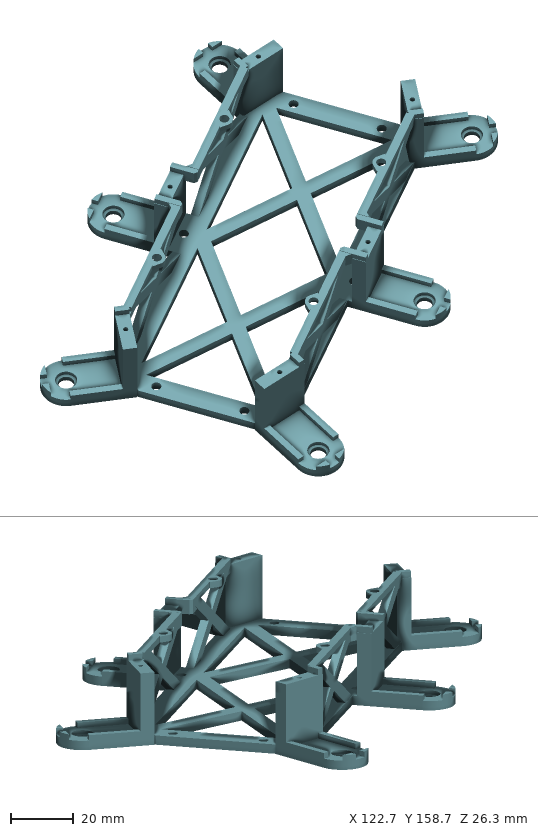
import cadquery as cq
import math

FLOOR_TOP = 3.1
RIB_TOP = 4.9
COLUMN_TOP = 24.2
STRAP_TOP = 26.3
BRACKET_BOTTOM = 21.6

RAIL_OUTER_X = 29.8
RAIL_INNER_X = 22.85
FRAME_END_Y = 67.2
FRAME_END_HALF_LENGTH = 19.85
WINDOW_END_Y = 60.1
BRACE_WIDTH = 5.0
SCREW_DIAMETER = 3.2
END_SCREW_X = 15.0
END_SCREW_Y = 63.5
SIDE_SCREW_X = 29.0

ARM_RADIUS = 8.35
MIDDLE_HOLE_X = 53.0
CORNER_HOLE_X = 42.95
CORNER_HOLE_Y = 71.0
CORNER_ANGLE = 30
RIB_WIDTH = 2.2
MOTOR_HOLE_DIAMETER = 5.2
COUNTERBORE_DIAMETER = 7.1
COUNTERBORE_DEPTH = 1.4
TAB_START_U = 5.95
TAB_GAP = 3.8

COLUMN_INNER_U = -21.65
COLUMN_THICKNESS = 4.7
COLUMN_OUTER_U = COLUMN_INNER_U + COLUMN_THICKNESS
COLUMN_HOLE_DIAMETER = 1.7
COLUMN_HOLE_DEPTH = 10.0
RIB_INNER_V = ARM_RADIUS - RIB_WIDTH
STRAP_INSET = 0.15
STRAP_OUTER_V = ARM_RADIUS - STRAP_INSET

WALL_INNER_X = 26.95
WALL_INSET = 0.1
WALL_OUTER_X = RAIL_OUTER_X - WALL_INSET
TRUSS_BRACE_WIDTH = 4.2
TRUSS_BRACE_ANGLE = 29.8
TRUSS_CENTER_Y = 30.95
TRUSS_END_Y = 53.8
BRACKET_LENGTH = 6.2
BRACKET_END_Y = 54.9
BOSS_Y = 31.25
BOSS_X = 26.7
BOSS_DIAMETER = 5.6
STRAP_CHAMFER = 0.9
GUSSET_LEG = 1.5

SIGNS = (-1, 1)


def block(x0, x1, y0, y1, z0, z1):
    """Axis-aligned box between opposite limits."""
    size = (x1 - x0, y1 - y0, z1 - z0)
    return cq.Workplane("XY").box(*size, centered=False).translate((x0, y0, z0))


def prism(points, z0, z1):
    """Vertical prism over a closed polygon."""
    return cq.Workplane("XY").workplane(offset=z0).polyline(points).close().extrude(z1 - z0)


def cylinder(x, y, diameter, z0, z1):
    """Upright cylinder centred on (x, y)."""
    return cq.Workplane("XY").workplane(offset=z0).center(x, y).circle(diameter / 2).extrude(z1 - z0)


def crossed_panel(length, height, brace_angle, brace_width, thickness):
    """Panel centred on the origin, kept only where two sloping bars cross it."""
    panel = cq.Workplane("XY").box(length, height, thickness, centered=(True, True, False))
    reach = 2 * math.hypot(length, height)
    bar = cq.Workplane("XY").box(reach, brace_width, thickness, centered=(True, True, False))
    rising = bar.rotate((0, 0, 0), (0, 0, 1), brace_angle)
    falling = bar.rotate((0, 0, 0), (0, 0, 1), -brace_angle)
    return panel.intersect(rising.union(falling))


def base_frame():
    """Flat frame with two crossed bays and chamfered corners that meet the corner arms."""
    quarter = [(RAIL_OUTER_X, TRUSS_END_Y), (FRAME_END_HALF_LENGTH, FRAME_END_Y)]
    upper = quarter + [(-x, y) for x, y in reversed(quarter)]
    lower = [(-x, -y) for x, y in upper]
    frame = prism(upper + lower, 0, FLOOR_TOP)
    frame = frame.cut(
        block(-RAIL_INNER_X, RAIL_INNER_X, -WINDOW_END_Y, WINDOW_END_Y, 0, FLOOR_TOP)
    )
    diagonal_angle = math.degrees(math.atan2(WINDOW_END_Y, 2 * RAIL_INNER_X))
    bay = crossed_panel(2 * RAIL_INNER_X, WINDOW_END_Y, diagonal_angle, BRACE_WIDTH, FLOOR_TOP)
    for side in SIGNS:
        frame = frame.union(bay.translate((0, side * WINDOW_END_Y / 2, 0)))
    return frame


def arm(strap_sides):
    """Motor arm along +X with its hole at the origin, its column and the strap ends on the column."""
    body = block(COLUMN_INNER_U, 0, -ARM_RADIUS, ARM_RADIUS, 0, FLOOR_TOP)
    body = body.union(cylinder(0, 0, 2 * ARM_RADIUS, 0, FLOOR_TOP))
    body = body.union(
        block(COLUMN_INNER_U, COLUMN_OUTER_U, -ARM_RADIUS, ARM_RADIUS, 0, COLUMN_TOP)
    )
    rim = cylinder(0, 0, 2 * ARM_RADIUS, 0, RIB_TOP)
    for side in SIGNS:
        v_limits = sorted((side * RIB_INNER_V, side * ARM_RADIUS))
        body = body.union(block(COLUMN_INNER_U, 0, *v_limits, 0, RIB_TOP))
        tab_limits = sorted((side * TAB_GAP / 2, side * ARM_RADIUS))
        body = body.union(rim.intersect(block(TAB_START_U, ARM_RADIUS, *tab_limits, 0, RIB_TOP)))
        if side in strap_sides:
            strap_limits = sorted((side * RIB_INNER_V, side * STRAP_OUTER_V))
            body = body.union(
                block(COLUMN_INNER_U, COLUMN_OUTER_U, *strap_limits, COLUMN_TOP, STRAP_TOP)
            )
    body = body.cut(cylinder(0, 0, MOTOR_HOLE_DIAMETER, 0, FLOOR_TOP))
    body = body.cut(cylinder(0, 0, COUNTERBORE_DIAMETER, FLOOR_TOP - COUNTERBORE_DEPTH, FLOOR_TOP))
    column_hole_u = (COLUMN_INNER_U + COLUMN_OUTER_U) / 2
    return body.cut(
        cylinder(column_hole_u, 0, COLUMN_HOLE_DIAMETER, COLUMN_TOP - COLUMN_HOLE_DEPTH, COLUMN_TOP)
    )


def side_truss():
    """Truss wall of the +X, +Y quarter: crossed web, top strap, end brackets, gusset and screw boss."""
    wall_thickness = WALL_OUTER_X - WALL_INNER_X
    web_length = TRUSS_END_Y - ARM_RADIUS
    web_height = COLUMN_TOP - FLOOR_TOP
    web = crossed_panel(web_length, web_height, TRUSS_BRACE_ANGLE, TRUSS_BRACE_WIDTH, wall_thickness)
    web = web.rotate((0, 0, 0), (1, 0, 0), 90).rotate((0, 0, 0), (0, 0, 1), 90)
    truss = web.translate((WALL_INNER_X, TRUSS_CENTER_Y, (FLOOR_TOP + COLUMN_TOP) / 2))
    truss = truss.union(
        block(WALL_INNER_X, WALL_OUTER_X, ARM_RADIUS, TRUSS_END_Y, COLUMN_TOP, STRAP_TOP)
    )

    bracket_x = (WALL_INNER_X + WALL_INSET, WALL_OUTER_X - WALL_INSET)
    for y0 in (ARM_RADIUS, BRACKET_END_Y - BRACKET_LENGTH):
        truss = truss.union(block(*bracket_x, y0, y0 + BRACKET_LENGTH, BRACKET_BOTTOM, COLUMN_TOP))

    middle_column_x = MIDDLE_HOLE_X + COLUMN_INNER_U
    strap_end = [
        (WALL_INNER_X, STRAP_OUTER_V),
        (WALL_INNER_X, RIB_INNER_V + STRAP_CHAMFER),
        (WALL_INNER_X + STRAP_CHAMFER, RIB_INNER_V),
        (middle_column_x, RIB_INNER_V),
        (middle_column_x, STRAP_OUTER_V),
    ]
    truss = truss.union(prism(strap_end, BRACKET_BOTTOM, STRAP_TOP))
    gusset = [
        (WALL_INNER_X, ARM_RADIUS),
        (WALL_OUTER_X + GUSSET_LEG, ARM_RADIUS),
        (WALL_OUTER_X, ARM_RADIUS + GUSSET_LEG),
        (WALL_INNER_X, ARM_RADIUS + GUSSET_LEG),
    ]
    truss = truss.union(prism(gusset, BRACKET_BOTTOM, STRAP_TOP))

    flare = BOSS_DIAMETER / math.sqrt(2)
    lobe_point = BOSS_DIAMETER / 2 / math.sqrt(2)
    boss = [
        (BOSS_X, BOSS_Y - flare),
        (BOSS_X - lobe_point, BOSS_Y - lobe_point),
        (BOSS_X - lobe_point, BOSS_Y + lobe_point),
        (BOSS_X, BOSS_Y + flare),
        (WALL_OUTER_X, BOSS_Y),
    ]
    truss = truss.union(prism(boss, COLUMN_TOP, STRAP_TOP))
    truss = truss.union(cylinder(BOSS_X, BOSS_Y, BOSS_DIAMETER, COLUMN_TOP, STRAP_TOP))
    return truss.cut(cylinder(BOSS_X, BOSS_Y, SCREW_DIAMETER, COLUMN_TOP, STRAP_TOP))


def right_half():
    """Arms and trusses on the +X side."""
    half = arm(SIGNS).translate((MIDDLE_HOLE_X, 0, 0))
    arm_root_x = MIDDLE_HOLE_X + COLUMN_INNER_U
    half = half.union(block(RAIL_INNER_X, arm_root_x, -ARM_RADIUS, ARM_RADIUS, 0, FLOOR_TOP))
    corner = arm((-1,)).rotate((0, 0, 0), (0, 0, 1), CORNER_ANGLE)
    quarter = corner.translate((CORNER_HOLE_X, CORNER_HOLE_Y, 0)).union(side_truss())
    return half.union(quarter).union(quarter.mirror("XZ"))


def frame_screw_holes():
    """Six through holes: two at each end of the frame and one inside each middle column."""
    places = [(x * END_SCREW_X, y * END_SCREW_Y) for x in SIGNS for y in SIGNS]
    places += [(x * SIDE_SCREW_X, 0) for x in SIGNS]
    return cq.Workplane("XY").pushPoints(places).circle(SCREW_DIAMETER / 2).extrude(FLOOR_TOP)


right_side = right_half()
left_side = right_side.mirror("YZ")
result = base_frame().union(right_side).union(left_side).cut(frame_screw_holes())